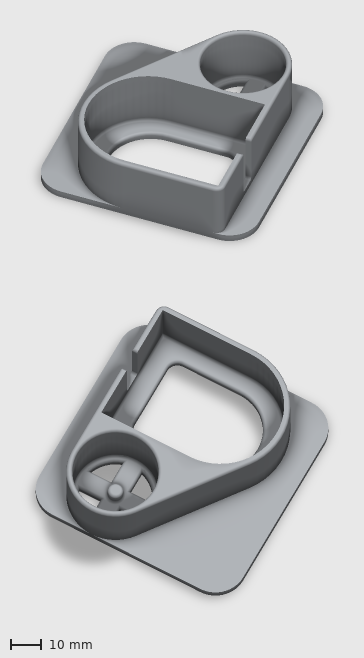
import cadquery as cq
import math

PLATE_SIZE = 75.5
PLATE_THICKNESS = 2.5
PLATE_CORNER_RADIUS = 10.25

TOTAL_HEIGHT = 22.0
FLOOR_Z = 2.5
WALL = 2.0
SIDE_MARGIN = 9.0
CORNER_RADIUS = 3.0
EDGE_RADIUS = 1.0

FLARE_RADIUS = 0.99

WELL_RADIUS = 14.0
WELL_WINDOW_RADIUS = 12.0
SPOKE_WIDTH = 7.0
PIN_RADIUS = 2.5
PIN_HEIGHT = 4.0

LEDGE_Y = 6.0
LEDGE_X = 7.0
OPENING_CORNER_RADIUS = 3.75

NOTCH_WIDTH = 7.0
NOTCH_BOTTOM_Z = 4.5

DIAGONAL = EDGE_RADIUS * math.sqrt(0.5)
PLATE_EDGE = PLATE_SIZE / 2
HOUSING_EDGE_X = PLATE_EDGE - SIDE_MARGIN
WELL_OUTER_RADIUS = WELL_RADIUS + WALL
WELL_X = HOUSING_EDGE_X - WELL_OUTER_RADIUS
WELL_Y = PLATE_EDGE - WELL_OUTER_RADIUS
CHAMBER_TOP_Y = WELL_Y - WELL_OUTER_RADIUS
CHAMBER_RADIUS = (CHAMBER_TOP_Y + PLATE_EDGE - WALL) / 2
CHAMBER_OUTER_RADIUS = CHAMBER_RADIUS + WALL
CHAMBER_X = CHAMBER_OUTER_RADIUS - HOUSING_EDGE_X
CHAMBER_Y = CHAMBER_TOP_Y - CHAMBER_RADIUS
CHAMBER_EDGE_X = HOUSING_EDGE_X - WALL


def polar(x, y, radius, angle):
    """Point on a circle centred at (x, y)."""
    return (x + radius * math.cos(angle), y + radius * math.sin(angle))


def tangent_angle():
    """Direction from either arc's centre to its contact with the slanted wall."""
    dx = WELL_X - CHAMBER_X
    dy = WELL_Y - CHAMBER_Y
    radius_change = CHAMBER_OUTER_RADIUS - WELL_OUTER_RADIUS
    return math.atan2(dy, dx) + math.acos(radius_change / math.hypot(dx, dy))


def d_shape(arc_x, radius, right_x, bottom_z, height):
    """Prism with a half-round -X end and a square +X end, centred on the chamber axis."""
    return (
        cq.Workplane("XY", origin=(0, CHAMBER_Y, bottom_z))
        .moveTo(right_x, radius)
        .lineTo(arc_x, radius)
        .threePointArc((arc_x - radius, 0), (arc_x, -radius))
        .lineTo(right_x, -radius)
        .close()
        .extrude(height)
    )


def base_plate():
    plate = cq.Workplane("XY").rect(PLATE_SIZE, PLATE_SIZE).extrude(PLATE_THICKNESS)
    return plate.edges("|Z").fillet(PLATE_CORNER_RADIUS)


def housing():
    """Solid block whose outline wraps the well and the chamber, joined by a tangent wall."""
    angle = tangent_angle()
    well_arc_middle = polar(WELL_X, WELL_Y, WELL_OUTER_RADIUS, angle / 2)
    well_tangent = polar(WELL_X, WELL_Y, WELL_OUTER_RADIUS, angle)
    chamber_tangent = polar(CHAMBER_X, CHAMBER_Y, CHAMBER_OUTER_RADIUS, angle)
    block = (
        cq.Workplane("XY")
        .moveTo(HOUSING_EDGE_X, -PLATE_EDGE)
        .lineTo(HOUSING_EDGE_X, WELL_Y)
        .threePointArc(well_arc_middle, well_tangent)
        .lineTo(*chamber_tangent)
        .threePointArc((CHAMBER_X - CHAMBER_OUTER_RADIUS, CHAMBER_Y), (CHAMBER_X, -PLATE_EDGE))
        .close()
        .extrude(TOTAL_HEIGHT)
    )
    square_corner = cq.selectors.NearestToPointSelector((HOUSING_EDGE_X, -PLATE_EDGE, TOTAL_HEIGHT / 2))
    block = block.edges(square_corner).fillet(CORNER_RADIUS)
    return block.faces(">Z").edges().fillet(EDGE_RADIUS)


def chamber_cutter():
    cavity = d_shape(CHAMBER_X, CHAMBER_RADIUS, CHAMBER_EDGE_X, FLOOR_Z, TOTAL_HEIGHT)
    return cavity.faces("<Z").edges().fillet(EDGE_RADIUS)


def cut_chamber_opening(body):
    """Cut the opening through the chamber floor and round its upper rim."""
    radius = CHAMBER_RADIUS - LEDGE_Y
    left_x = CHAMBER_X - CHAMBER_RADIUS + LEDGE_X
    right_x = CHAMBER_EDGE_X - LEDGE_X
    opening = d_shape(left_x + radius, radius, right_x, 0, FLOOR_Z)
    opening = opening.edges("|Z and >X").fillet(OPENING_CORNER_RADIUS)
    rim_x = left_x - EDGE_RADIUS
    rim_y = radius + EDGE_RADIUS
    rim = cq.selectors.BoxSelector(
        (rim_x, CHAMBER_Y - rim_y, FLOOR_Z - EDGE_RADIUS),
        (right_x + EDGE_RADIUS, CHAMBER_Y + rim_y, FLOOR_Z + EDGE_RADIUS),
        boundingbox=True,
    )
    return body.cut(opening).edges(rim).fillet(EDGE_RADIUS)


def place_at_well(profile, angle=360):
    """Revolve a radius-height profile about the well axis, starting from +X."""
    solid = profile.revolve(angle, (0, 0, 0), (0, 1, 0))
    return solid.translate((WELL_X, WELL_Y, 0))


def well_cutter():
    """Bore whose rounded floor corner runs into the rounded rim of the window below."""
    rim_z = FLOOR_Z - EDGE_RADIUS
    floor_x = WELL_RADIUS - EDGE_RADIUS
    floor_round_z = FLOOR_Z + EDGE_RADIUS
    profile = (
        cq.Workplane("XZ")
        .lineTo(WELL_WINDOW_RADIUS, 0)
        .lineTo(WELL_WINDOW_RADIUS, rim_z)
        .threePointArc((floor_x - DIAGONAL, rim_z + DIAGONAL), (floor_x, FLOOR_Z))
        .threePointArc((floor_x + DIAGONAL, floor_round_z - DIAGONAL), (WELL_RADIUS, floor_round_z))
        .lineTo(WELL_RADIUS, TOTAL_HEIGHT)
        .lineTo(0, TOTAL_HEIGHT)
        .close()
    )
    return place_at_well(profile)


def round_well_rim(body):
    """Round the well's top edge: a full round on the free wall, a quarter round elsewhere."""
    free_angle = math.degrees(tangent_angle())
    low_z = TOTAL_HEIGHT - EDGE_RADIUS
    crest_x = WELL_RADIUS + EDGE_RADIUS
    square_top = (
        cq.Workplane("XZ")
        .moveTo(WELL_RADIUS, low_z)
        .lineTo(WELL_OUTER_RADIUS, low_z)
        .lineTo(WELL_OUTER_RADIUS, TOTAL_HEIGHT)
        .lineTo(WELL_RADIUS, TOTAL_HEIGHT)
        .close()
    )
    round_top = (
        cq.Workplane("XZ")
        .moveTo(WELL_RADIUS, low_z)
        .lineTo(WELL_OUTER_RADIUS, low_z)
        .threePointArc((crest_x, TOTAL_HEIGHT), (WELL_RADIUS, low_z))
        .close()
    )
    flare_z = TOTAL_HEIGHT - FLARE_RADIUS
    flare_x = WELL_RADIUS + FLARE_RADIUS
    flare_diagonal = FLARE_RADIUS * math.sqrt(0.5)
    quarter_cut = (
        cq.Workplane("XZ")
        .moveTo(WELL_RADIUS, flare_z)
        .threePointArc((flare_x - flare_diagonal, flare_z + flare_diagonal), (flare_x, TOTAL_HEIGHT))
        .lineTo(WELL_RADIUS, TOTAL_HEIGHT)
        .close()
    )
    body = body.cut(place_at_well(square_top, free_angle))
    body = body.cut(place_at_well(quarter_cut))
    return body.union(place_at_well(round_top, free_angle))


def spokes():
    """Cross of two round-edged bars that spans the window of the well."""
    bar = cq.Workplane("XY").box(
        2 * WELL_RADIUS, SPOKE_WIDTH, FLOOR_Z, centered=(True, True, False))
    bar = bar.edges("|X and >Z").fillet(EDGE_RADIUS)
    cross = bar.union(bar.rotate((0, 0, 0), (0, 0, 1), 90))
    return cross.translate((WELL_X, WELL_Y, 0))


def centre_pin():
    """Pin with a rounded tip and a flared foot."""
    foot_x = PIN_RADIUS + EDGE_RADIUS
    foot_z = FLOOR_Z + EDGE_RADIUS
    tip_x = PIN_RADIUS - EDGE_RADIUS
    tip_z = FLOOR_Z + PIN_HEIGHT - EDGE_RADIUS
    profile = (
        cq.Workplane("XZ")
        .moveTo(0, 0)
        .lineTo(PIN_RADIUS, 0)
        .lineTo(PIN_RADIUS, FLOOR_Z)
        .lineTo(foot_x, FLOOR_Z)
        .threePointArc((foot_x - DIAGONAL, foot_z - DIAGONAL), (PIN_RADIUS, foot_z))
        .lineTo(PIN_RADIUS, tip_z)
        .threePointArc((tip_x + DIAGONAL, tip_z + DIAGONAL), (tip_x, tip_z + EDGE_RADIUS))
        .lineTo(0, tip_z + EDGE_RADIUS)
        .close()
    )
    return place_at_well(profile)


def notch_cutter():
    """Slot through the +X wall with rounded bottom corners and flared top corners."""
    half = NOTCH_WIDTH / 2
    r = EDGE_RADIUS
    low_z = NOTCH_BOTTOM_Z + r
    flare_z = TOTAL_HEIGHT - r
    return (
        cq.Workplane("YZ", origin=(CHAMBER_EDGE_X, CHAMBER_Y, 0))
        .moveTo(-half - r, TOTAL_HEIGHT)
        .threePointArc((-half - r + DIAGONAL, flare_z + DIAGONAL), (-half, flare_z))
        .lineTo(-half, low_z)
        .threePointArc((-half + r - DIAGONAL, low_z - DIAGONAL), (-half + r, NOTCH_BOTTOM_Z))
        .lineTo(half - r, NOTCH_BOTTOM_Z)
        .threePointArc((half - r + DIAGONAL, low_z - DIAGONAL), (half, low_z))
        .lineTo(half, flare_z)
        .threePointArc((half + r - DIAGONAL, flare_z + DIAGONAL), (half + r, TOTAL_HEIGHT))
        .close()
        .extrude(WALL)
    )


body = base_plate().union(housing())
body = body.cut(chamber_cutter()).cut(notch_cutter())
body = cut_chamber_opening(body)
body = round_well_rim(body.cut(well_cutter()))
result = body.union(spokes()).union(centre_pin())